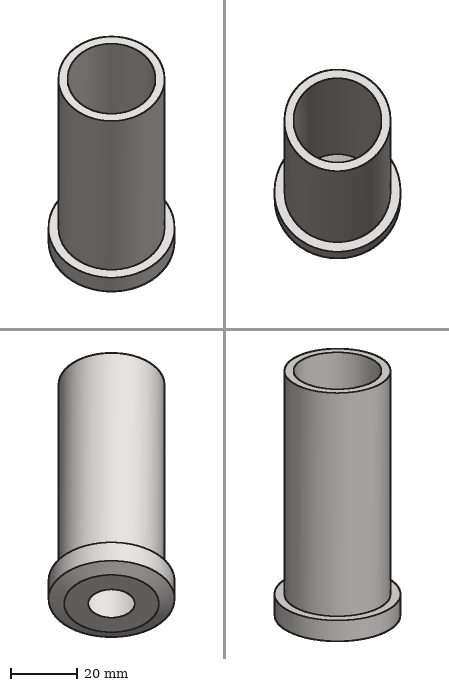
import cadquery as cq
import math

total_height = 82.7
tube_diameter = 32.0
bore_diameter = 26.5
outlet_diameter = 14.0

flange_diameter = 38.0
flange_top = 8.7
foot_diameter = 28.5
taper_angle = 20.0

seat_angle = 30.0

tube_radius = tube_diameter / 2
bore_radius = bore_diameter / 2
outlet_radius = outlet_diameter / 2
flange_radius = flange_diameter / 2
foot_radius = foot_diameter / 2
taper_height = (flange_radius - foot_radius) * math.tan(math.radians(taper_angle))
seat_height = (bore_radius - outlet_radius) * math.tan(math.radians(seat_angle))


def revolve_profile(points):
    """Solid of revolution about Z from a closed outline of (radius, z) points."""
    return cq.Workplane("XZ").polyline(points).close().revolve(360, (0, 0), (0, 1))


def make_body():
    """Tube with its flange and tapered foot, still solid inside."""
    return revolve_profile([
        (0, 0),
        (foot_radius, 0),
        (flange_radius, taper_height),
        (flange_radius, flange_top),
        (tube_radius, flange_top),
        (tube_radius, total_height),
        (0, total_height),
    ])


def make_cavity():
    """Bore that narrows through the conical seat to the outlet in the foot."""
    return revolve_profile([
        (0, 0),
        (outlet_radius, 0),
        (bore_radius, seat_height),
        (bore_radius, total_height),
        (0, total_height),
    ])


result = make_body().cut(make_cavity())